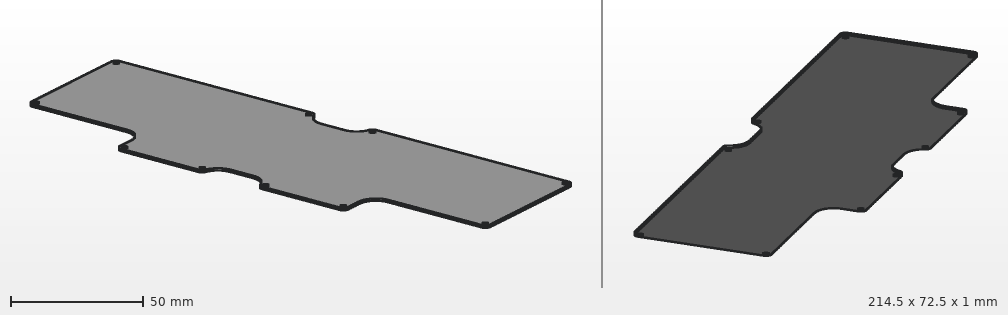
import cadquery as cq
import math

length = 214.5
width = 72.5
thickness = 1.0

tab_length = 106.5
tab_depth = 17.2
step_radius = 8.0

corner_radius = 2.1
hole_diameter = 2.1

notch_hole_spacing = 29.8
notch_depth = 7.0
notch_radius = 8.0

half_length = length / 2
half_width = width / 2
half_tab = tab_length / 2
notch_hole_x = notch_hole_spacing / 2
step_y = tab_depth - half_width


def mirrored(points):
    """Return the points together with their mirror images across X = 0."""
    return points + [(-x, y) for x, y in points]


def round_edges(plate, points, radius):
    """Round the vertical edges standing at the given XY points."""
    for x, y in points:
        nearest = cq.selectors.NearestToPointSelector((x, y, thickness / 2))
        plate = plate.edges(nearest).fillet(radius)
    return plate


def make_blank():
    """Rectangular plate with a narrower tab along its -Y edge, corners rounded."""
    body_center_y = tab_depth / 2
    body = cq.Workplane("XY").center(0, body_center_y).rect(length, width - tab_depth).extrude(thickness)
    tab = cq.Workplane("XY").rect(tab_length, width).extrude(thickness)
    outer_corners = mirrored([
        (half_length, half_width),
        (half_length, step_y),
        (half_tab, -half_width),
    ])
    blank = round_edges(body.union(tab), mirrored([(half_tab, step_y)]), step_radius)
    return round_edges(blank, outer_corners, corner_radius)


def make_notch():
    """Notch for the +Y edge: each flank is a convex arc running tangent into a concave one."""
    corner_y = half_width - corner_radius
    floor_y = half_width - notch_depth
    hollow_y = floor_y + notch_radius

    rise = hollow_y - corner_y
    center_distance = corner_radius + notch_radius
    run = math.sqrt(center_distance**2 - rise**2)
    hollow_x = notch_hole_x - run

    tilt = math.atan2(rise, run)
    join_x = notch_hole_x - corner_radius * math.cos(tilt)
    join_y = corner_y + corner_radius * math.sin(tilt)

    convex_angle = (math.pi / 2 + tilt) / 2
    convex_mid_x = notch_hole_x - corner_radius * math.cos(convex_angle)
    convex_mid_y = corner_y + corner_radius * math.sin(convex_angle)
    hollow_mid_x = hollow_x + notch_radius * math.cos(convex_angle)
    hollow_mid_y = hollow_y - notch_radius * math.sin(convex_angle)

    return (
        cq.Workplane("XY")
        .moveTo(notch_hole_x, half_width)
        .threePointArc((convex_mid_x, convex_mid_y), (join_x, join_y))
        .threePointArc((hollow_mid_x, hollow_mid_y), (hollow_x, floor_y))
        .lineTo(-hollow_x, floor_y)
        .threePointArc((-hollow_mid_x, hollow_mid_y), (-join_x, join_y))
        .threePointArc((-convex_mid_x, convex_mid_y), (-notch_hole_x, half_width))
        .close()
        .extrude(thickness)
    )


def make_holes():
    """Through holes at every outer corner."""
    end_x = half_length - corner_radius
    top_y = half_width - corner_radius
    centers = mirrored([
        (end_x, top_y),
        (end_x, step_y + corner_radius),
        (half_tab - corner_radius, -top_y),
        (notch_hole_x, top_y),
        (notch_hole_x, -top_y),
    ])
    return cq.Workplane("XY").pushPoints(centers).circle(hole_diameter / 2).extrude(thickness)


notch = make_notch()
result = make_blank().cut(notch).cut(notch.mirror("XZ")).cut(make_holes())